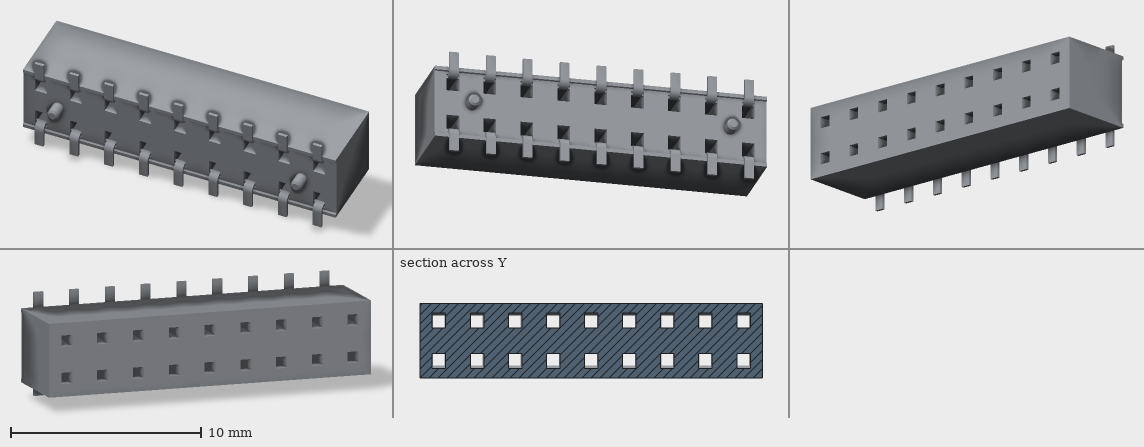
import cadquery as cq
import math

length = 18.0
height = 3.96
columns = 9
pitch = length / columns
row_offset = pitch / 2
overlap = 0.09

housing_depth = 4.34
lip_height = 0.1
lip_width = 0.23
lip_slope = 0.04
face_y = lip_height - housing_depth

peg_diameter = 0.63
peg_chamfer = 0.1
peg_tip_y = -5.04
peg_spread = length - 2 * pitch

contact_thickness = 0.16
tail_width = 0.5
tail_tip_z = 5.56 / 2
bend_radius = 0.38
bend_end_z = 1.44
base_depth = 0.15

opening_size = 0.61
mating_wall = 0.54
taper_length = 0.54
cavity_width = 0.68
cavity_inner_z = row_offset - opening_size / 2
cavity_outer_z = bend_end_z + contact_thickness
opening_outer_z = row_offset + opening_size / 2

tail_front_y = -housing_depth - contact_thickness
bend_y = tail_front_y + bend_radius
bend_z = bend_end_z + bend_radius


def yz_extrusion(outline, width):
    """Extrude a closed YZ outline to the given width, centred on X = 0."""
    return outline.close().extrude(width / 2, both=True)


def limits_box(width, y_start, y_end, z_start, z_end):
    """Box centred on X = 0 between two Y and two Z limits."""
    return (
        cq.Workplane("XY")
        .box(width, y_end - y_start, z_end - z_start, centered=(True, False, False))
        .translate((0, y_start, z_start))
    )


def make_housing():
    """Block with a shallow full-length recess that leaves a sloped lip along each long edge."""
    body = limits_box(length, -housing_depth, 0, -height / 2, height / 2)
    lip_inner_z = height / 2 - lip_width
    recess = cq.Workplane("YZ").polyline([
        (face_y, -lip_inner_z),
        (face_y, lip_inner_z),
        (-housing_depth, lip_inner_z + lip_slope),
        (-housing_depth, -lip_inner_z - lip_slope),
    ])
    return body.cut(yz_extrusion(recess, length))


def make_cavity():
    """Upper-row cavity whose outer wall leans in toward a square opening at the mating face."""
    taper_start_y = -mating_wall - taper_length
    profile = cq.Workplane("YZ").polyline([
        (-housing_depth, cavity_inner_z),
        (-mating_wall, cavity_inner_z),
        (-mating_wall, opening_outer_z),
        (taper_start_y, cavity_outer_z),
        (-housing_depth, cavity_outer_z),
    ])
    opening = limits_box(opening_size, -mating_wall - overlap, 0, cavity_inner_z, opening_outer_z)
    return yz_extrusion(profile, cavity_width).union(opening)


def make_tail():
    """Upright solder tail with a quarter bend leading into the cavity."""
    inner_radius = bend_radius - contact_thickness
    diagonal = math.sqrt(0.5)
    root_y = bend_y + overlap
    outline = (
        cq.Workplane("YZ")
        .moveTo(tail_front_y, tail_tip_z)
        .lineTo(tail_front_y, bend_z)
        .threePointArc(
            (bend_y - bend_radius * diagonal, bend_z - bend_radius * diagonal),
            (bend_y, bend_end_z),
        )
        .lineTo(root_y, bend_end_z)
        .lineTo(root_y, cavity_outer_z)
        .lineTo(bend_y, cavity_outer_z)
        .threePointArc(
            (bend_y - inner_radius * diagonal, bend_z - inner_radius * diagonal),
            (-housing_depth, bend_z),
        )
        .lineTo(-housing_depth, tail_tip_z)
    )
    return yz_extrusion(outline, tail_width)


def make_base():
    """Wide flat base that holds the contact between the cavity walls."""
    return limits_box(cavity_width, bend_y, bend_y + base_depth, bend_end_z, cavity_outer_z)


def make_peg():
    return (
        cq.Workplane("XZ", origin=(0, face_y + overlap, 0))
        .circle(peg_diameter / 2)
        .extrude(face_y + overlap - peg_tip_y)
        .faces("<Y")
        .chamfer(peg_chamfer)
    )


def at_every_position(upper):
    """Copy an upper-row shape to every column of both rows."""
    lower = upper.mirror("XY")
    copies = cq.Workplane("XY")
    for column in range(columns):
        x = (column - (columns - 1) / 2) * pitch
        for shape in (upper, lower):
            copies = copies.add(shape.translate((x, 0, 0)))
    return copies.combine()


contact = make_tail().union(make_base())
result = make_housing().cut(at_every_position(make_cavity())).union(at_every_position(contact))
for side in (-1, 1):
    result = result.union(make_peg().translate((side * peg_spread / 2, 0, 0)))